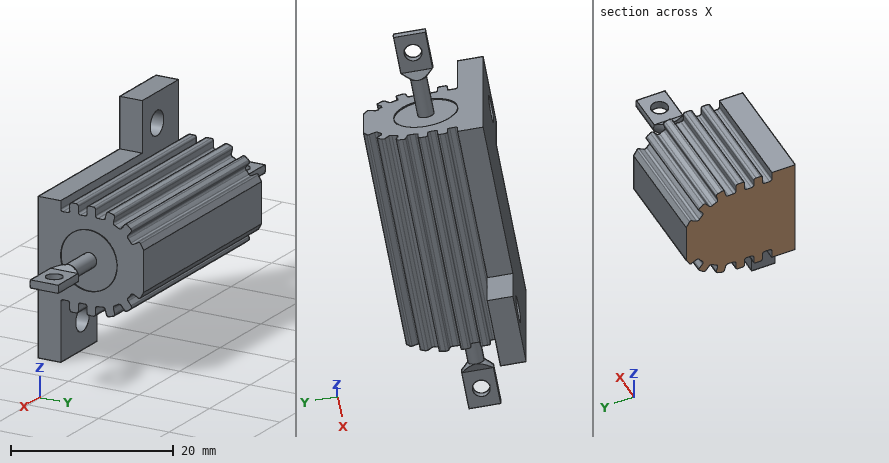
import cadquery as cq
import math


total_length = 51.0
body_length = 29.05
total_height = 28.0
body_height = 14.3
mounting_face_y = -7.2
plate_thickness = 3.2
plate_back_y = mounting_face_y + plate_thickness

ear_width = 9.0
ear_hole_diameter = 3.3
ear_hole_x = 9.2
ear_hole_z = 9.95

body_depth = 15.0
housing_back_y = mounting_face_y + body_depth
core_radius = 5.75
core_center_y = 1.35
fin_width = 1.2
straight_fin_tip_z = body_height / 2
leaning_fin_tip_radius = 7.0
straight_fin_positions = (-2.1, 0.35)
leaning_fin_angles = (15.3, 39.0)
fin_tip_fillet = 0.3
fin_root_fillet = 0.3

back_face_height = 5.5
block_corner_y = 7.25
block_corner_z = 3.7
block_side_angle = 63.0
block_side_length = 2.55
block_corner_fillet = 0.2

recess_diameter = 8.0
recess_depth = 0.15

rod_radius = 1.0
terminal_radius = 2.05
terminal_thickness = 1.05
terminal_length = 4.95
taper_length = 1.05
terminal_hole_diameter = 2.2
terminal_hole_inset = 2.45


def make_plate():
    """Base plate with a drilled ear at the upper left and at the lower right."""
    plate = cq.Workplane("XY").box(body_length, plate_thickness, body_height)
    ear_height = (total_height - body_height) / 2
    ear_x = (body_length - ear_width) / 2
    ear_z = (body_height + ear_height) / 2
    for side in (-1, 1):
        ear = cq.Workplane("XY").box(ear_width, plate_thickness, ear_height)
        plate = plate.union(ear.translate((side * ear_x, 0, -side * ear_z)))
    plate = plate.translate((0, mounting_face_y + plate_thickness / 2, 0))
    holes = (
        cq.Workplane("XZ", origin=(0, plate_back_y, 0))
        .pushPoints([(-ear_hole_x, ear_hole_z), (ear_hole_x, -ear_hole_z)])
        .circle(ear_hole_diameter / 2)
        .extrude(plate_thickness)
    )
    return plate.cut(holes)


def make_core():
    """Housing without fins: flat sides running into a half-round back."""
    return (
        cq.Workplane("YZ")
        .moveTo(plate_back_y, -core_radius)
        .lineTo(core_center_y, -core_radius)
        .threePointArc((core_center_y + core_radius, 0), (core_center_y, core_radius))
        .lineTo(plate_back_y, core_radius)
        .close()
        .extrude(body_length / 2, both=True)
    )


def make_fin(base_y, length, angle):
    """Upper fin rooted at base_y on the axis plane, leaning toward +Y by angle in degrees."""
    fin = (
        cq.Workplane("XY")
        .box(body_length, fin_width, length, centered=(True, True, False))
        .edges("|X and >Z")
        .fillet(fin_tip_fillet)
    )
    return fin.rotate((0, 0, 0), (1, 0, 0), -angle).translate((0, base_y, 0))


def make_back_block():
    """Block along the back whose sides slant in toward the core center."""
    angle = math.radians(block_side_angle)
    side_y = block_corner_y - block_side_length * math.sin(angle)
    side_z = block_corner_z - block_side_length * math.cos(angle)
    return (
        cq.Workplane("YZ")
        .polyline([
            (side_y, -side_z),
            (block_corner_y, -block_corner_z),
            (housing_back_y, -back_face_height / 2),
            (housing_back_y, back_face_height / 2),
            (block_corner_y, block_corner_z),
            (side_y, side_z),
        ])
        .close()
        .extrude(body_length / 2, both=True)
        .edges("|X and (>Z or <Z)")
        .fillet(block_corner_fillet)
    )


def is_fin_root(edge):
    """True for the concave edges where fins, back block and plate meet the core."""
    middle = edge.Center()
    y_from_center = max(middle.y - core_center_y, 0)
    return abs(math.hypot(y_from_center, middle.z) - core_radius) < fin_root_fillet / 2


def make_recess():
    """Cutter for the round recess in the +X end face."""
    face = cq.Workplane("YZ", origin=(body_length / 2, 0, 0))
    return face.circle(recess_diameter / 2).extrude(-recess_depth)


def make_body():
    """Plate and housing joined, with the fin roots rounded and the end faces recessed."""
    upper_fins = [make_fin(y, straight_fin_tip_z, 0) for y in straight_fin_positions]
    upper_fins += [make_fin(core_center_y, leaning_fin_tip_radius, angle) for angle in leaning_fin_angles]
    body = make_plate().union(make_core()).union(make_back_block())
    for fin in upper_fins:
        body = body.union(fin).union(fin.mirror("XY"))
    root_edges = [edge for edge in body.edges("|X").vals() if is_fin_root(edge)]
    body = body.newObject(root_edges).fillet(fin_root_fillet)
    recess = make_recess()
    return body.cut(recess).cut(recess.mirror("YZ"))


def make_lead():
    """Round lead on the +X side, widening through a cone into a flat drilled terminal."""
    tip_x = total_length / 2
    terminal_x = tip_x - terminal_length
    rod_end_x = terminal_x - taper_length
    turned = (
        cq.Workplane("XY")
        .polyline([
            (0, 0),
            (0, rod_radius),
            (rod_end_x, rod_radius),
            (terminal_x, terminal_radius),
            (tip_x, terminal_radius),
            (tip_x, 0),
        ])
        .close()
        .revolve(360, (0, 0, 0), (1, 0, 0))
    )
    half_thickness = terminal_thickness / 2
    flattened_outline = (
        cq.Workplane("XZ")
        .polyline([
            (0, -rod_radius),
            (rod_end_x, -rod_radius),
            (terminal_x, -half_thickness),
            (tip_x, -half_thickness),
            (tip_x, half_thickness),
            (terminal_x, half_thickness),
            (rod_end_x, rod_radius),
            (0, rod_radius),
        ])
        .close()
        .extrude(terminal_radius, both=True)
    )
    hole = (
        cq.Workplane("XY")
        .center(tip_x - terminal_hole_inset, 0)
        .circle(terminal_hole_diameter / 2)
        .extrude(terminal_thickness, both=True)
    )
    return turned.intersect(flattened_outline).cut(hole)


lead = make_lead()
result = make_body().union(lead).union(lead.mirror("YZ"))